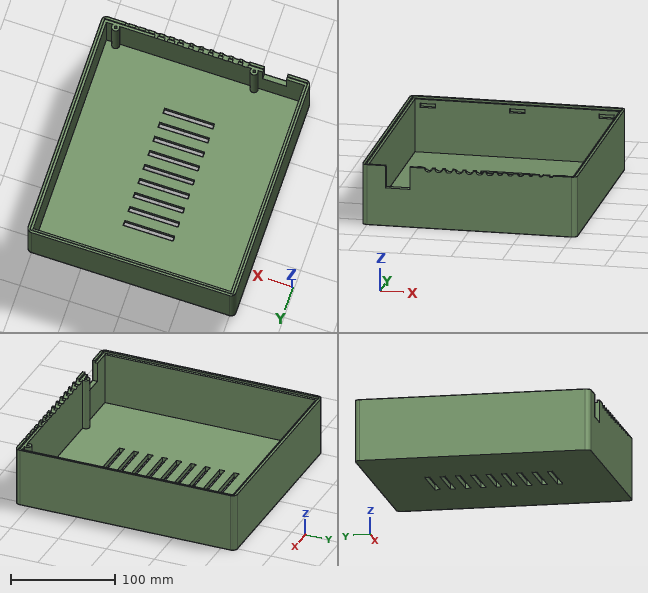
import cadquery as cq

length_x = 210.0
length_y = 230.0
height = 60.0
corner_radius = 5.0
wall = 5.0
floor = 5.0

lip_width = 2.5
lip_depth = 2.0

vent_count = 9
vent_pitch = 15.0
vent_length = 50.1
vent_width = 5.0

window_width = 24.0
window_depth = 22.0
window_x = -70.0

first_notch_x = -40.0
last_notch_x = 80.0
notch_rise = 0.2
notch_groups = [(7, 7.4), (3, 5.5), (3, 3.7)]

boss_diameter = 7.8
boss_hole = 2.5
boss_hole_depth = 15.0
boss_positions_x = [-50.0, 90.0]
boss_inset_y = 7.0

latch_count = 3
latch_width = 15.0
latch_height = 4.0
latch_depth = 4.0
latch_bottom_z = 50.0
latch_spacing = 87.5

ledge_z = height - lip_depth
front_y = -length_y / 2
boss_y = front_y + boss_inset_y
boss_points = [(x, boss_y) for x in boss_positions_x]
inner_x = length_x - 2 * wall
inner_y = length_y - 2 * wall


def block(size_x, size_y, bottom_z, top_z):
    """Block centred on the Z axis between two heights."""
    return (
        cq.Workplane("XY", origin=(0, 0, bottom_z))
        .rect(size_x, size_y)
        .extrude(top_z - bottom_z)
    )


def make_shell():
    body = block(length_x, length_y, 0, height).edges("|Z").fillet(corner_radius)
    cavity = block(inner_x, inner_y, floor, height)
    rim_step = block(length_x - 2 * lip_width, length_y - 2 * lip_width, ledge_z, height)
    return body.cut(cavity).cut(rim_step)


def make_bosses():
    """Solid posts standing on the floor up to the rim ledge."""
    return (
        cq.Workplane("XY")
        .pushPoints(boss_points)
        .circle(boss_diameter / 2)
        .extrude(ledge_z)
    )


def make_boss_holes():
    return (
        cq.Workplane("XY", origin=(0, 0, ledge_z - boss_hole_depth))
        .pushPoints(boss_points)
        .circle(boss_hole / 2)
        .extrude(boss_hole_depth)
    )


def make_vents():
    return (
        cq.Workplane("XY")
        .rarray(2.3, vent_pitch, 1, vent_count)
        .rect(vent_length, vent_width)
        .extrude(floor)
    )


def make_window():
    return (
        cq.Workplane("XY", origin=(window_x, front_y, height - window_depth))
        .box(window_width, wall, window_depth, centered=(True, False, False))
    )


def make_notches():
    """Cylinders along Y, centred just above the top edge, shrinking towards +X."""
    diameters = [diameter for count, diameter in notch_groups for _ in range(count)]
    notch_pitch = (last_notch_x - first_notch_x) / (len(diameters) - 1)
    notches = cq.Workplane("XZ", origin=(0, front_y, height + notch_rise))
    for index, diameter in enumerate(diameters):
        center_x = first_notch_x + index * notch_pitch
        notches = notches.moveTo(center_x, 0).circle(diameter / 2)
    return notches.extrude(-wall)


def make_latch_recesses():
    center_y = (inner_y + latch_depth) / 2
    center_z = latch_bottom_z + latch_height / 2
    return (
        cq.Workplane("XY", origin=(0, center_y, center_z))
        .rarray(latch_spacing, 2.3, latch_count, 1)
        .box(latch_width, latch_depth, latch_height)
    )


result = (
    make_shell()
    .union(make_bosses())
    .cut(make_boss_holes())
    .cut(make_vents())
    .cut(make_window())
    .cut(make_notches())
    .cut(make_latch_recesses())
)